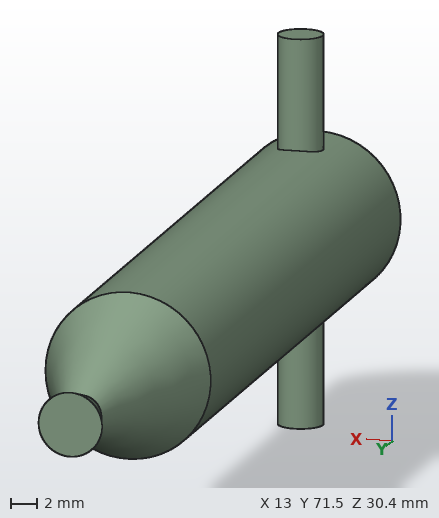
import cadquery as cq

body_diameter = 13.0
body_length = 54.8

neck_diameter = 3.2
tip_diameter = 5.0
flare_length = 3.15
overall_length = 71.47
neck_position = overall_length - flare_length

pin_diameter = 3.5
pin_length = 30.36
pin_position = 5.0


def make_body():
    """Revolve the half profile of the body, taper and flared tip about Y."""
    profile = (
        cq.Workplane("XY")
        .lineTo(body_diameter / 2, 0)
        .lineTo(body_diameter / 2, body_length)
        .lineTo(neck_diameter / 2, neck_position)
        .lineTo(tip_diameter / 2, overall_length)
        .lineTo(0, overall_length)
        .close()
    )
    return profile.revolve(360, (0, 0, 0), (0, 1, 0))


def make_cross_pin():
    """Straight round pin, centred on the body axis."""
    return (
        cq.Workplane("XY")
        .center(0, pin_position)
        .circle(pin_diameter / 2)
        .extrude(pin_length / 2, both=True)
    )


result = make_body().union(make_cross_pin())